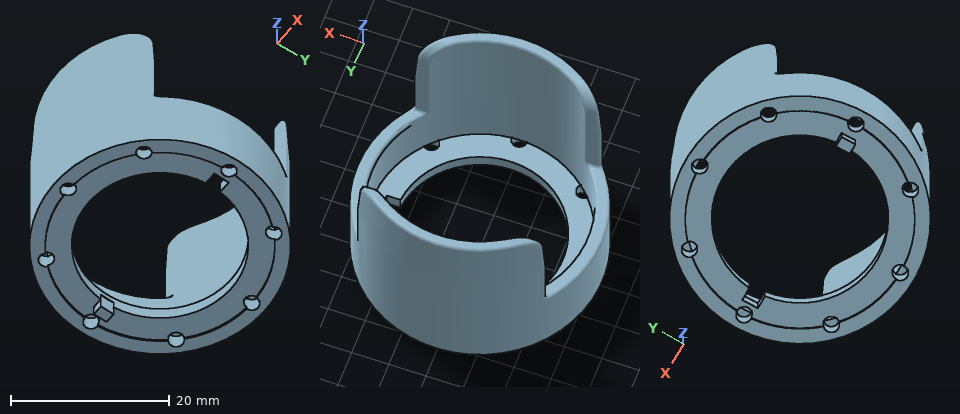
import cadquery as cq
import math

outer_radius = 16.5
inner_radius = 29.0 / 2
body_height = 25.3
taper_start = 17.9
taper_inset = 0.4
floor_bottom = 0.3
floor_thickness = 2.0
floor_top = floor_bottom + floor_thickness
bore_radius = 11.15

opening_width = 20.0
opening_floor = 9.9
panel_corner_radius = 3.0
opening_corner_radius = 0.5
rim_round = 0.5
tolerance = 0.003

hole_diameter = 2.0
hole_count = 8
keyway_width = 2.25
keyway_end = 12.95
tab_width = 2.0
tab_inner = 11.1
tab_outer = 12.57
tab_height = 1.3


def make_cup():
    """Revolve the wall, with its tapered upper end, and the ring floor."""
    profile = (
        cq.Workplane("XZ")
        .moveTo(bore_radius, floor_bottom)
        .lineTo(inner_radius, floor_bottom)
        .lineTo(inner_radius, 0)
        .lineTo(outer_radius, 0)
        .lineTo(outer_radius, taper_start)
        .lineTo(outer_radius - taper_inset, body_height)
        .lineTo(inner_radius, body_height)
        .lineTo(inner_radius, floor_top)
        .lineTo(bore_radius, floor_top)
        .close()
    )
    return profile.revolve(360, (0, 0, 0), (0, 1, 0))


def make_opening():
    """Slot along X whose mouth flares out over the rounded panel corners."""
    half_width = opening_width / 2
    mouth_half = half_width + panel_corner_radius
    corner_start = body_height - panel_corner_radius
    corner_mid = panel_corner_radius * (1 - math.sqrt(0.5))
    return (
        cq.Workplane("YZ")
        .moveTo(-half_width, opening_floor)
        .lineTo(half_width, opening_floor)
        .lineTo(half_width, corner_start)
        .threePointArc((half_width + corner_mid, body_height - corner_mid), (mouth_half, body_height))
        .lineTo(-mouth_half, body_height)
        .threePointArc((-half_width - corner_mid, body_height - corner_mid), (-half_width, corner_start))
        .close()
        .extrude(outer_radius * 1.2, both=True)
        .edges("|X and <Z")
        .fillet(opening_corner_radius)
    )


def is_rim_edge(edge):
    """Tell rim edges from those that cross the wall, circle the taper or lie below the opening."""
    box = edge.BoundingBox()
    above_opening_floor = box.zmin > opening_floor - tolerance
    circles_taper = abs(box.zmin - taper_start) < tolerance and box.zlen < tolerance
    radii = [math.hypot(vertex.X, vertex.Y) for vertex in edge.Vertices()]
    crosses_wall = max(radii) - min(radii) > (outer_radius - inner_radius) / 2
    return above_opening_floor and not circles_taper and not crosses_wall


def round_rim(cup):
    """Round the inner and outer edges all along the stepped rim."""
    rim_edges = [edge for edge in cup.edges().vals() if is_rim_edge(edge)]
    return cup.newObject(rim_edges).fillet(rim_round)


def cut_floor_details(cup):
    """Cut the ring of holes beside the wall and the keyway in the bore."""
    holes = (
        cq.Workplane("XY")
        .polarArray(inner_radius, 0, 360, hole_count)
        .circle(hole_diameter / 2)
        .extrude(floor_top)
    )
    keyway = cq.Workplane("XY").box(
        keyway_end, keyway_width, floor_top, centered=(False, True, False)
    )
    return cup.cut(holes).cut(keyway)


def make_tab():
    """Locating tab under the floor, opposite the keyway."""
    tab_length = tab_outer - tab_inner
    sunk_height = tab_height + floor_bottom + floor_thickness / 2
    return (
        cq.Workplane("XY")
        .box(tab_length, tab_width, sunk_height, centered=(False, True, False))
        .translate((-tab_outer, 0, -tab_height))
    )


cup = make_cup().cut(make_opening())
cup = round_rim(cup)
cup = cut_floor_details(cup)
result = cup.union(make_tab())